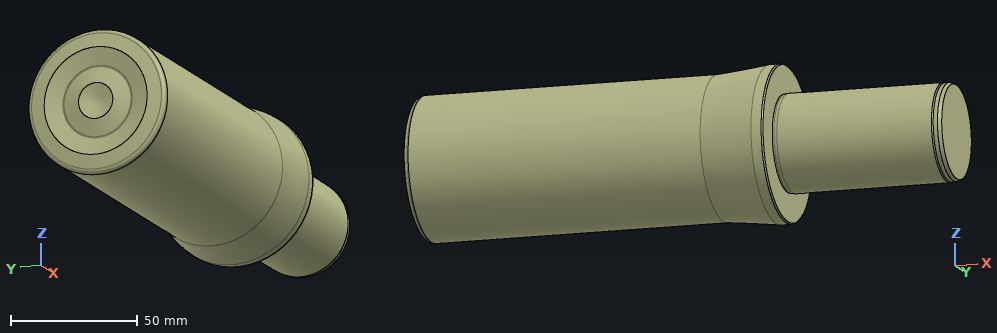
import cadquery as cq
import math

total_length = 222.0

head_diameter = 59.0
head_back_x = 3.0
head_land_length = 0.5
corner_radius = 1.8
face_groove_depth = 2.0
outer_ridge_diameter = 44.0
groove_diameter = 29.0
groove_floor_width = 0.5
inner_ridge_diameter = outer_ridge_diameter / 3
corner_center_x = head_back_x - head_land_length

barrel_diameter = head_diameter
flare_start_x = 124.8
flange_diameter = 64.0
flange_start_x = 146.7
flange_end_x = 151.6
flange_chamfer_length = 0.7
flange_chamfer_depth = 0.5

shank_diameter = 40.0
relief_diameter = 39.5
neck_end_x = 152.3
shank_start_x = 153.6
shank_end_x = 218.0
tail_start_x = 218.7
end_chamfer_length = 1.5
end_chamfer_depth = 0.7


def make_cutting_head():
    head_radius = head_diameter / 2
    rim_radius = head_radius - corner_radius
    rim_x = corner_center_x - corner_radius
    arc_offset = corner_radius * math.sqrt(0.5)
    profile = (
        cq.Workplane("XY")
        .moveTo(head_back_x, 0)
        .lineTo(face_groove_depth, 0)
        .lineTo(0, inner_ridge_diameter / 2)
        .lineTo(face_groove_depth, (groove_diameter - groove_floor_width) / 2)
        .lineTo(face_groove_depth, (groove_diameter + groove_floor_width) / 2)
        .lineTo(0, outer_ridge_diameter / 2)
        .lineTo(rim_x, rim_radius)
        .threePointArc(
            (corner_center_x - arc_offset, rim_radius + arc_offset),
            (corner_center_x, head_radius),
        )
        .lineTo(head_back_x, head_radius)
        .close()
    )
    return profile.revolve(360, (0, 0, 0), (1, 0, 0))


def make_holder():
    barrel_radius = barrel_diameter / 2
    flange_radius = flange_diameter / 2
    shank_radius = shank_diameter / 2
    relief_radius = relief_diameter / 2
    profile = cq.Workplane("XY").polyline([
        (head_back_x, 0),
        (head_back_x, barrel_radius),
        (flare_start_x, barrel_radius),
        (flange_start_x, flange_radius),
        (flange_end_x - flange_chamfer_length, flange_radius),
        (flange_end_x, flange_radius - flange_chamfer_depth),
        (flange_end_x, relief_radius),
        (neck_end_x, relief_radius),
        (shank_start_x, shank_radius),
        (shank_end_x, shank_radius),
        (tail_start_x, relief_radius),
        (total_length - end_chamfer_length, relief_radius),
        (total_length, relief_radius - end_chamfer_depth),
        (total_length, 0),
    ]).close()
    return profile.revolve(360, (0, 0, 0), (1, 0, 0))


cutting_head = make_cutting_head()
holder = make_holder()

result = cq.Compound.makeCompound([cutting_head.val(), holder.val()])